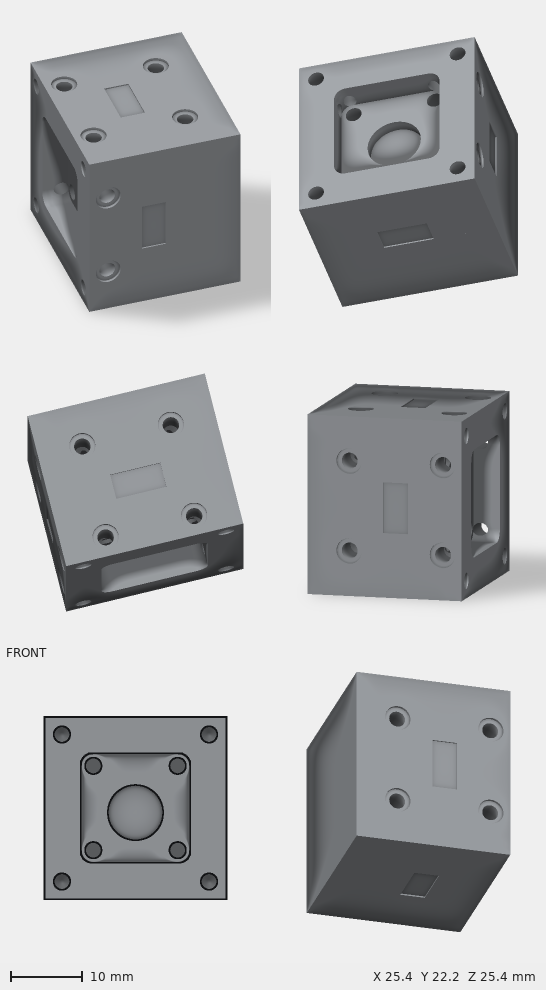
import cadquery as cq
import math

SIDE = 25.4
HALF = SIDE / 2
DEPTH = 22.22
FRONT_DEPTH = 11.28

WINDOW_SIDE = 15.25
POCKET_RADIUS = 1.63
WINDOW_DEPTH = 3.8
RECESS_DIAMETER = 7.7
RECESS_DROP = 0.64
RECESS_DEPTH = 1.78

CAVITY_SIDE = 14.78
CAVITY_DEPTH = 7.62

HOLE_DIAMETER = 2.29
DRILL_POINT_ANGLE = 118.0
CORNER_HOLE_OFFSET = 10.24
CORNER_HOLE_DEPTH = 6.35
FLOOR_HOLE_OFFSET = 5.87

SIDE_HOLE_OFFSET = 6.35
FRONT_HOLE_Y = 2.8
HOLE_Y_SPACING = 13.45
SIDE_HOLE_DEPTH = 5.08
COUNTERBORE_DIAMETER = 3.63
COUNTERBORE_DEPTH = 0.4

KEY_LENGTH = 7.2
KEY_WIDTH = 3.55
KEY_HEIGHT = 3.55
KEY_SETBACK = 0.2

QUARTER_TURNS = (0, 90, 180, 270)

FRONT_DRILLED_TURNS = (-90, 0, 90)
REAR_DRILLED_TURNS = (-90, 0)
Y_AXIS = cq.Vector(0, 1, 0)


def turned(shape, angle):
    """Turn a solid about the Y axis through the block centre."""
    return shape.rotate(cq.Vector(0, 0, 0), Y_AXIS, angle)


def slab(side, y_start, y_end):
    """Square block centred on the Y axis, between two Y planes."""
    return cq.Workplane("XY").box(side, y_end - y_start, side).translate((0, (y_start + y_end) / 2, 0))


def drill(depth, start, direction):
    """Cylinder of the given full-diameter depth ending in a drill point."""
    radius = HOLE_DIAMETER / 2
    point = radius / math.tan(math.radians(DRILL_POINT_ANGLE / 2))
    cylinder = cq.Solid.makeCylinder(radius, depth, start, direction)
    tip = cq.Solid.makeCone(radius, 0, point, start + direction * depth, direction)
    return cylinder.fuse(tip)


def side_holes(y, turns):
    """Two counterbored holes in each of the drilled sides, at one Y position."""
    down = cq.Vector(0, 0, -1)
    cutters = []
    for x in (-SIDE_HOLE_OFFSET, SIDE_HOLE_OFFSET):
        start = cq.Vector(x, y, HALF)
        bore = drill(SIDE_HOLE_DEPTH, start, down)
        counterbore = cq.Solid.makeCylinder(COUNTERBORE_DIAMETER / 2, COUNTERBORE_DEPTH, start, down)
        cutter = bore.fuse(counterbore)
        cutters += [turned(cutter, angle) for angle in turns]
    return cutters


def corner_holes():
    """Blind holes in the four corners of the front face."""
    start = cq.Vector(CORNER_HOLE_OFFSET, 0, CORNER_HOLE_OFFSET)
    cutter = drill(CORNER_HOLE_DEPTH, start, Y_AXIS)
    return [turned(cutter, angle) for angle in QUARTER_TURNS]


def floor_holes():
    """Four holes from the window floor through to the mating face."""
    start = cq.Vector(FLOOR_HOLE_OFFSET, WINDOW_DEPTH, FLOOR_HOLE_OFFSET)
    length = FRONT_DEPTH - WINDOW_DEPTH
    cutter = cq.Solid.makeCylinder(HOLE_DIAMETER / 2, length, start, Y_AXIS)
    return [turned(cutter, angle) for angle in QUARTER_TURNS]


def rounded_pocket(side, y_start, depth):
    """Square pocket with rounded corners, running in +Y from the given plane."""
    return slab(side, y_start, y_start + depth).edges("|Y").fillet(POCKET_RADIUS)


def window():
    """Rounded square pocket together with the round recess in its floor."""
    pocket = rounded_pocket(WINDOW_SIDE, 0, WINDOW_DEPTH)
    centre = cq.Vector(0, WINDOW_DEPTH, -RECESS_DROP)
    recess = cq.Solid.makeCylinder(RECESS_DIAMETER / 2, RECESS_DEPTH, centre, Y_AXIS)
    return pocket.union(cq.Workplane(obj=recess))


def key_block(top, angle):
    """Block seated on the key slot floor and reaching up to the given height."""
    height = top - (HALF - KEY_SETBACK - KEY_HEIGHT)
    block = cq.Solid.makeBox(KEY_LENGTH, KEY_WIDTH, height)
    corner = cq.Vector(-KEY_LENGTH / 2, FRONT_DEPTH - KEY_WIDTH, top - height)
    return turned(block.translate(corner), angle)


def cut_each(body, cutters):
    """Cut the tools out of a body one at a time."""
    for cutter in cutters:
        body = body.cut(cq.Workplane(obj=cutter))
    return body


def make_front_housing():
    housing = slab(SIDE, 0, FRONT_DEPTH).cut(window())
    housing = cut_each(housing, corner_holes())
    housing = cut_each(housing, floor_holes())
    housing = cut_each(housing, side_holes(FRONT_HOLE_Y, FRONT_DRILLED_TURNS))
    return cut_each(housing, [key_block(HALF, angle) for angle in QUARTER_TURNS])


def make_rear_housing():
    housing = slab(SIDE, FRONT_DEPTH, DEPTH)
    housing = housing.cut(rounded_pocket(CAVITY_SIDE, FRONT_DEPTH, CAVITY_DEPTH))
    return cut_each(housing, side_holes(FRONT_HOLE_Y + HOLE_Y_SPACING, REAR_DRILLED_TURNS))


def make_key(angle):
    return key_block(HALF - KEY_SETBACK, angle)


front_housing = make_front_housing()
rear_housing = make_rear_housing()
keys = [make_key(angle) for angle in QUARTER_TURNS]

result = cq.Compound.makeCompound([front_housing.val(), rear_housing.val(), *keys])